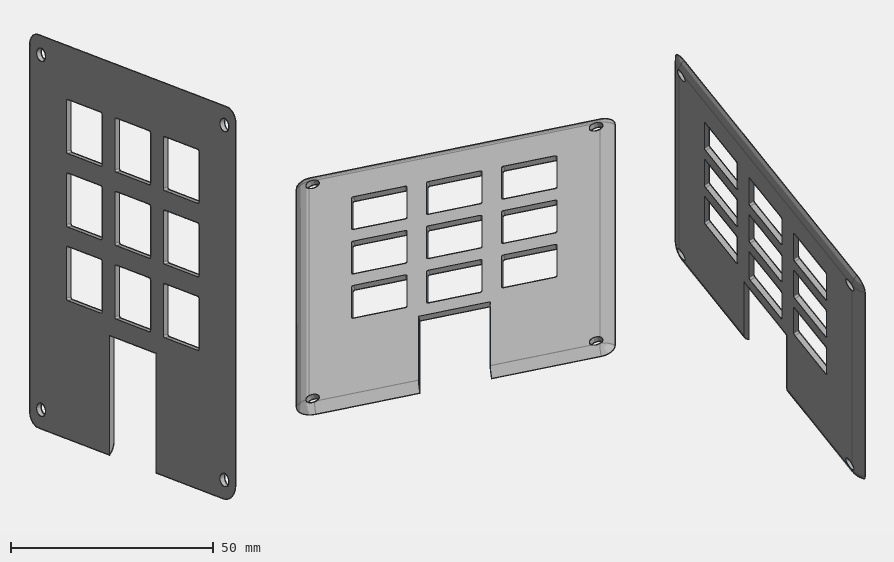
import cadquery as cq
import math

width = 81.03
height = 102.0
thickness = 1.5

rim_radius = 5.0
rim_inset = math.sqrt(rim_radius**2 - (rim_radius - thickness) ** 2)
rim_overhang = rim_radius - rim_inset
large_corner_radius = 5.0

hole_diameter = 3.4
hole_spacing_x = 72.0
hole_spacing_z = 92.0

key_size = 14.0
key_corner_radius = 0.5
key_pitch = 19.05
keys_per_side = 3
key_grid_center_z = 11.0

slot_width = 18.2
slot_height = 31.0


def wall_prism(size_x, size_z):
    """Rectangular prism standing on the XZ plane, extending along +Y through the plate."""
    return cq.Workplane("XY").box(size_x, thickness, size_z).translate((0, thickness / 2, 0))


def rounded_plate():
    """Slice off the back of a thicker slab whose corners and back edges are rounded."""
    slab_width = width + 2 * rim_overhang
    slab_height = height + 2 * rim_overhang
    slab_depth = 2 * rim_radius
    slab = cq.Workplane("XY").box(slab_width, slab_depth, slab_height)
    slab = slab.translate((0, thickness - slab_depth / 2, 0))
    lower_right = cq.selectors.NearestToPointSelector((slab_width / 2, 0, -slab_height / 2))
    slab = slab.edges("|Y").edges(lower_right).fillet(large_corner_radius + rim_overhang)
    slab = slab.edges("(|Y and (<X or >Z)) or >Y").fillet(rim_radius)
    return slab.intersect(wall_prism(slab_width, slab_height))


def cut_screw_holes(plate):
    holes = (
        cq.Workplane("XZ")
        .rarray(hole_spacing_x, hole_spacing_z, 2, 2)
        .circle(hole_diameter / 2)
        .extrude(-thickness)
    )
    return plate.cut(holes)


def cut_key_openings(plate):
    openings = (
        cq.Workplane("XZ")
        .center(0, key_grid_center_z)
        .rarray(key_pitch, key_pitch, keys_per_side, keys_per_side)
        .rect(key_size, key_size)
        .extrude(-thickness)
        .edges("|Y")
        .fillet(key_corner_radius)
    )
    return plate.cut(openings)


def cut_bottom_slot(plate):
    slot = wall_prism(slot_width, slot_height).translate((0, 0, (slot_height - height) / 2))
    return plate.cut(slot)


result = rounded_plate()
result = cut_screw_holes(result)
result = cut_key_openings(result)
result = cut_bottom_slot(result)